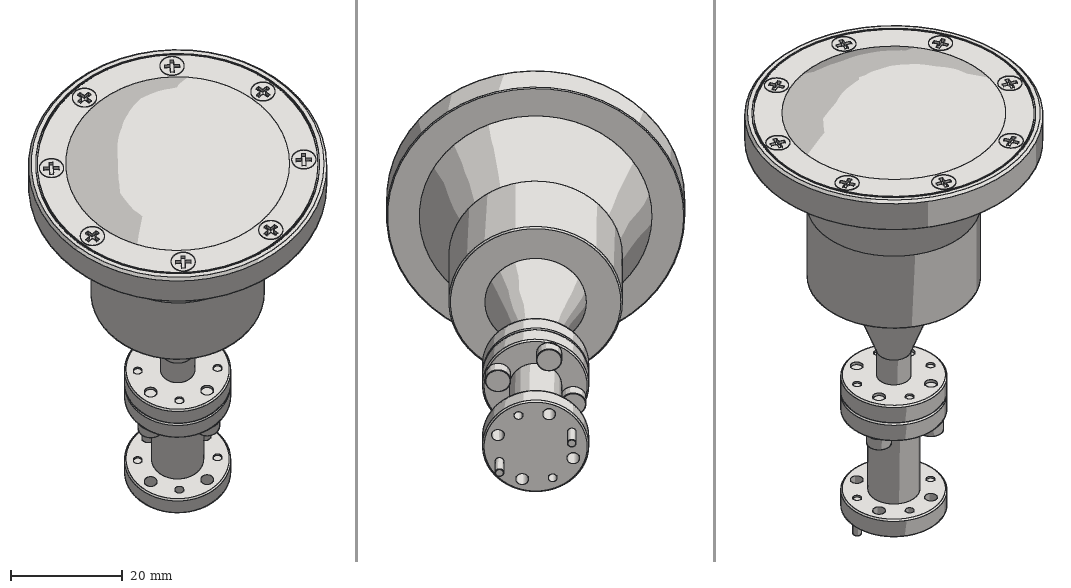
import cadquery as cq
import math


Z_FLANGE_LOW = 4.0
Z_JOINT = 29.4
Z_NECK_TOP = 38.8
Z_BODY_BOTTOM = 54.9
Z_BODY_TOP = 71.2
Z_RIM_BOTTOM = 85.2
Z_RIM_TOP = 91.6
Z_APEX = 98.6

RIM_RADIUS = 53.3 / 2
RIM_TOP_CHAMFER = 0.5
RIM_BOTTOM_CHAMFER = 0.2
HORN_MOUTH_RADIUS = 20.8
BODY_RADIUS = 31.1 / 2
BODY_CHAMFER = 0.3
CONE_TOP_RADIUS = 9.1
NECK_RADIUS = 6.2 / 2

LENS_RADIUS = 20.0
LENS_VERTEX = 13.8
LENS_POINTS = 12
SEAM_RADIUS = 25.2
SEAM_WIDTH = 0.3
SEAM_DEPTH = 0.3

LENS_SCREW_COUNT = 8
LENS_SCREW_CIRCLE = 22.6
LENS_SCREW_RADIUS = 2.2
LENS_SCREW_SINK = 0.1
CROSS_LENGTH = 2.8
CROSS_WIDTH = 0.7
CROSS_DEPTH = 0.8

TUBE_RADIUS = 9.4 / 2
FLANGE_RADIUS = 19.0 / 2
FLANGE_THICKNESS = 3.9
FLANGE_CHAMFER = 0.3
BOLT_CIRCLE = 14.3 / 2
BOLT_HOLE_RADIUS = 2.3 / 2
BOLT_HEAD_RADIUS = 2.3
BOLT_HEAD_HEIGHT = 2.4
BOLT_HEAD_CHAMFER = 0.1
BOLT_END_SINK = 0.6
PIN_RADIUS = 0.8
PIN_CHAMFER = 0.1
PIN_SINK = 0.4

BOLT_ANGLES = (0, 90, 180, 270)
DOWEL_ANGLES = (45, 225)
DOWEL_HOLE_ANGLES = (135, 315)


def cylinder(radius, z_bottom, z_top):
    return cq.Workplane("XY").workplane(offset=z_bottom).circle(radius).extrude(z_top - z_bottom)


def cone(bottom_radius, top_radius, z_bottom, z_top):
    profile = [(0, z_bottom), (bottom_radius, z_bottom), (top_radius, z_top), (0, z_top)]
    return cq.Workplane("XZ").polyline(profile).close().revolve(360, (0, 0, 0), (0, 1, 0))


def on_circle(shape, radius, angles):
    """Copies of a shape made on the Z axis, moved out to a circle and turned to face the axis."""
    copies = cq.Workplane("XY")
    for angle in angles:
        copies = copies.add(shape.translate((radius, 0, 0)).rotate((0, 0, 0), (0, 0, 1), angle))
    return copies.combine()


def lens_dome():
    """Hyperbolic crown, steepening to nearly straight flanks at the lens edge."""
    rise = Z_APEX - Z_RIM_TOP
    spread = ((rise + LENS_VERTEX) ** 2 - LENS_VERTEX**2) / LENS_RADIUS**2
    curve = []
    for i in range(1, LENS_POINTS + 1):
        r = LENS_RADIUS * i / LENS_POINTS
        sag = math.sqrt(LENS_VERTEX**2 + spread * r**2) - LENS_VERTEX
        curve.append((r, Z_APEX - sag))
    edge_tangent = (rise + LENS_VERTEX, -spread * LENS_RADIUS)
    return (
        cq.Workplane("XZ")
        .moveTo(0, Z_APEX)
        .spline(curve, tangents=[(1, 0), edge_tangent], includeCurrent=True)
        .lineTo(0, Z_RIM_TOP)
        .close()
        .revolve(360, (0, 0, 0), (0, 1, 0))
    )


def horn():
    rim = cylinder(RIM_RADIUS, Z_RIM_BOTTOM, Z_RIM_TOP)
    rim = rim.faces(">Z").chamfer(RIM_TOP_CHAMFER)
    rim = rim.faces("<Z").chamfer(RIM_BOTTOM_CHAMFER)
    body = cylinder(BODY_RADIUS, Z_BODY_BOTTOM, Z_BODY_TOP).faces("<Z").chamfer(BODY_CHAMFER)
    flare = cone(BODY_RADIUS, HORN_MOUTH_RADIUS, Z_BODY_TOP, Z_RIM_BOTTOM)
    lower_cone = cone(NECK_RADIUS, CONE_TOP_RADIUS, Z_NECK_TOP, Z_BODY_BOTTOM)
    return rim.union(lens_dome()).union(flare).union(body).union(lower_cone)


def lens_seam():
    seam = cq.Workplane("XY").workplane(offset=Z_RIM_TOP - SEAM_DEPTH)
    return seam.circle(SEAM_RADIUS + SEAM_WIDTH / 2).circle(SEAM_RADIUS - SEAM_WIDTH / 2).extrude(SEAM_DEPTH)


def lens_screw_recesses():
    """Shallow round sinks with a cross slot, one arm pointing at the axis."""
    z_head = Z_RIM_TOP - LENS_SCREW_SINK
    sink = cylinder(LENS_SCREW_RADIUS, z_head, Z_RIM_TOP)
    slots = cq.Workplane("XY").workplane(offset=z_head - CROSS_DEPTH)
    radial_slot = slots.rect(CROSS_LENGTH, CROSS_WIDTH).extrude(CROSS_DEPTH)
    cross_slot = slots.rect(CROSS_WIDTH, CROSS_LENGTH).extrude(CROSS_DEPTH)
    recess = sink.union(radial_slot).union(cross_slot)
    angles = [360 * i / LENS_SCREW_COUNT for i in range(LENS_SCREW_COUNT)]
    return on_circle(recess, LENS_SCREW_CIRCLE, angles)


def flange(z_bottom):
    disc = cylinder(FLANGE_RADIUS, z_bottom, z_bottom + FLANGE_THICKNESS)
    return disc.faces("<Z or >Z").chamfer(FLANGE_CHAMFER)


def flange_holes(radius, depth, z_top, angles):
    return on_circle(cylinder(radius, z_top - depth, z_top), BOLT_CIRCLE, angles)


def waveguide():
    z_low_top = Z_FLANGE_LOW + FLANGE_THICKNESS
    z_joint_top = Z_JOINT + FLANGE_THICKNESS
    z_joint_bottom = Z_JOINT - FLANGE_THICKNESS

    tube = cylinder(TUBE_RADIUS, Z_FLANGE_LOW, Z_JOINT)
    neck = cylinder(NECK_RADIUS, Z_JOINT, Z_NECK_TOP)
    guide = tube.union(neck).union(flange(Z_FLANGE_LOW)).union(flange(z_joint_bottom)).union(flange(Z_JOINT))

    guide = guide.cut(flange_holes(BOLT_HOLE_RADIUS, BOLT_END_SINK, z_joint_top, BOLT_ANGLES))
    guide = guide.cut(flange_holes(PIN_RADIUS, PIN_SINK, z_joint_top, DOWEL_ANGLES + DOWEL_HOLE_ANGLES))

    guide = guide.cut(flange_holes(BOLT_HOLE_RADIUS, FLANGE_THICKNESS, z_low_top, BOLT_ANGLES))
    guide = guide.cut(flange_holes(PIN_RADIUS, FLANGE_THICKNESS, z_low_top, DOWEL_HOLE_ANGLES))
    guide = guide.cut(flange_holes(PIN_RADIUS, PIN_SINK, z_low_top, DOWEL_ANGLES))

    head = cylinder(BOLT_HEAD_RADIUS, z_joint_bottom - BOLT_HEAD_HEIGHT, z_joint_bottom)
    head = head.faces("<Z").chamfer(BOLT_HEAD_CHAMFER)
    dowel = cylinder(PIN_RADIUS, 0, Z_FLANGE_LOW).faces("<Z").chamfer(PIN_CHAMFER)
    guide = guide.union(on_circle(head, BOLT_CIRCLE, BOLT_ANGLES))
    return guide.union(on_circle(dowel, BOLT_CIRCLE, DOWEL_ANGLES))


result = horn().cut(lens_seam()).cut(lens_screw_recesses()).union(waveguide())